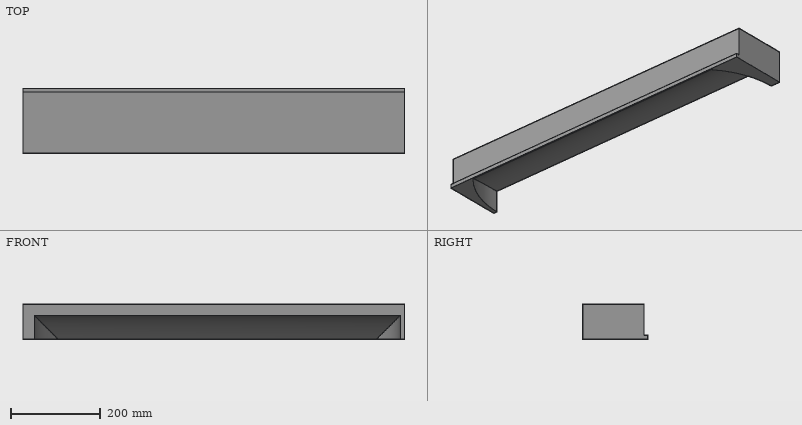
import cadquery as cq
import math

LENGTH = 857.25
DEPTH = 146.05
HEIGHT = 79.375

LIP_DEPTH = 7.9375
LIP_HEIGHT = 9.525
BODY_DEPTH = DEPTH - LIP_DEPTH

RAIL_HEIGHT = 25.4
LEFT_LEG_WIDTH = 25.4
RIGHT_LEG_WIDTH = 9.525
RECESS_LEFT = LEFT_LEG_WIDTH
RECESS_RIGHT = LENGTH - RIGHT_LEG_WIDTH

BACK_EDGE_WIDTH = 3.175
COVE_DEPTH = DEPTH - BACK_EDGE_WIDTH
COVE_DROP = HEIGHT - RAIL_HEIGHT
COVE_RADIUS = (COVE_DEPTH**2 + COVE_DROP**2) / (2 * COVE_DROP)

COVE_HALF_SWEEP = math.atan2(COVE_DROP, COVE_DEPTH)
MID_DEPTH = COVE_RADIUS * math.sin(COVE_HALF_SWEEP)
MID_DROP = COVE_RADIUS * (1 - math.cos(COVE_HALF_SWEEP))


def make_body():
    """Solid block with the rear lip, as a side profile extruded along X."""
    return (
        cq.Workplane("YZ")
        .lineTo(DEPTH, 0)
        .lineTo(DEPTH, LIP_HEIGHT)
        .lineTo(BODY_DEPTH, LIP_HEIGHT)
        .lineTo(BODY_DEPTH, HEIGHT)
        .lineTo(0, HEIGHT)
        .close()
        .extrude(LENGTH)
    )


def make_space_under_ceiling():
    """Space below the ceiling cove, over the full length."""
    return (
        cq.Workplane("YZ")
        .lineTo(0, COVE_DROP)
        .threePointArc((MID_DEPTH, COVE_DROP - MID_DROP), (COVE_DEPTH, 0))
        .close()
        .extrude(LENGTH)
    )


def make_space_between_sides():
    """Space between the left and right coves, over the full height."""
    return (
        cq.Workplane("XY")
        .moveTo(RECESS_LEFT, 0)
        .threePointArc((RECESS_LEFT + MID_DROP, MID_DEPTH), (RECESS_LEFT + COVE_DROP, COVE_DEPTH))
        .lineTo(RECESS_RIGHT - COVE_DROP, COVE_DEPTH)
        .threePointArc((RECESS_RIGHT - MID_DROP, MID_DEPTH), (RECESS_RIGHT, 0))
        .close()
        .extrude(HEIGHT)
    )


recess = make_space_under_ceiling().intersect(make_space_between_sides())
result = make_body().cut(recess)